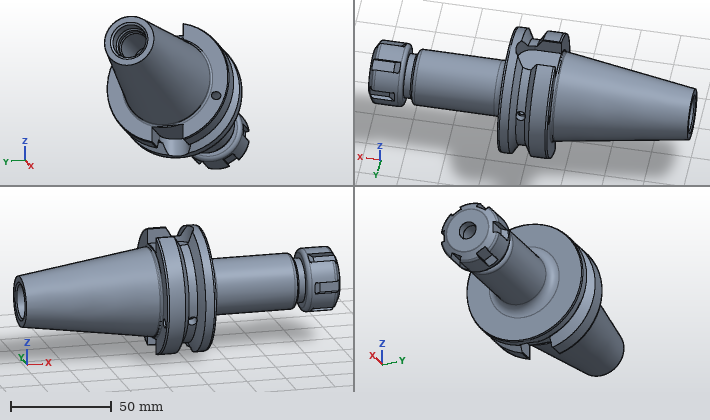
import cadquery as cq
import math


TOTAL_LENGTH = 161.0
GAUGE_X = 65.8
GAUGE_R = 22.4
TAPER_RATIO = 7 / 24
TAPER_TIP_R = GAUGE_R - GAUGE_X * TAPER_RATIO / 2
RELIEF_FILLET = 1.0

FLANGE_X = 67.5
FLANGE_END_X = 92.4
FLANGE_R = 31.47
FLANGE_CHAMFER_LENGTH = 1.0
FLANGE_CHAMFER_DEPTH = 0.3
GROOVE_R = 26.5
GROOVE_RIM_X = 76.6
GROOVE_FLOOR_X = 79.7
GROOVE_FLOOR_END_X = 84.0
GROOVE_RIM_END_X = 87.0

SLOT_WIDTH = 16.1
SLOT_FLOOR_Z = 22.5
SLOT_END_X = 88.7
SLOT_EDGE_CHAMFER = 0.5

COOLANT_ANGLE = 20.0
COOLANT_ENTRY_R = 26.7
COOLANT_TILT = 35.0
COOLANT_DIAMETER = 4.0
PLUG_X = (GROOVE_FLOOR_X + GROOVE_FLOOR_END_X) / 2
PLUG_DIAMETER = 4.8
PLUG_DEPTH = 4.8
LINK_DIAMETER = 3.2

SHANK_R = 14.0
SHANK_FILLET = 5.0
SHANK_END_X = 139.1
SHANK_ROUND = 1.8
NOSE_R = 11.1
NOSE_CONE_LENGTH = 1.0
NOSE_END_X = 156.2

MOUTH_R = 9.7
MOUTH_CHAMFER = 0.6
COUNTERBORE_R = 8.5
COUNTERBORE_DEPTH = 6.3
PILOT_R = 7.7
PILOT_END_X = 9.5
THREAD_R = 7.1
THREAD_END_X = 32.2
BORE_R = 4.5
BORE_CONE = THREAD_R - BORE_R

NUT_X = 143.5
NUT_R = 15.85
NUT_BACK_FILLET = 2.1
NUT_CONE_X = 158.4
NUT_FRONT_R = 11.5
NUT_FRONT_FILLET = 1.6
NUT_SLOT_COUNT = 6
NUT_SLOT_WIDTH = 5.6
NUT_RIM_FILLET = 0.3
NUT_SLOT_FLOOR_R = 13.2
NUT_SLOT_X = 147.0
NUT_LONG_SLOT_X = 145.7
NUT_SLOT_RAMP = 3.2


def turn_about_axis(shape, angle):
    return shape.rotate((0, 0, 0), (1, 0, 0), angle)


def make_outer_body():
    chamfer_r = FLANGE_R - FLANGE_CHAMFER_DEPTH
    round_offset = SHANK_ROUND * math.sqrt(0.5)
    round_x = SHANK_END_X - SHANK_ROUND
    round_r = SHANK_R - SHANK_ROUND
    fillet_offset = RELIEF_FILLET * (1 - math.sqrt(0.5))
    shank_fillet_offset = SHANK_FILLET * (1 - math.sqrt(0.5))
    profile = (
        cq.Workplane("XY")
        .moveTo(0, 0)
        .lineTo(0, TAPER_TIP_R)
        .lineTo(GAUGE_X, GAUGE_R)
        .lineTo(FLANGE_X - RELIEF_FILLET, GAUGE_R)
        .threePointArc(
            (FLANGE_X - fillet_offset, GAUGE_R + fillet_offset),
            (FLANGE_X, GAUGE_R + RELIEF_FILLET),
        )
        .lineTo(FLANGE_X, chamfer_r)
        .lineTo(FLANGE_X + FLANGE_CHAMFER_LENGTH, FLANGE_R)
        .lineTo(GROOVE_RIM_X, FLANGE_R)
        .lineTo(GROOVE_FLOOR_X, GROOVE_R)
        .lineTo(GROOVE_FLOOR_END_X, GROOVE_R)
        .lineTo(GROOVE_RIM_END_X, FLANGE_R)
        .lineTo(FLANGE_END_X - FLANGE_CHAMFER_LENGTH, FLANGE_R)
        .lineTo(FLANGE_END_X, chamfer_r)
        .lineTo(FLANGE_END_X, SHANK_R + SHANK_FILLET)
        .threePointArc(
            (FLANGE_END_X + shank_fillet_offset, SHANK_R + shank_fillet_offset),
            (FLANGE_END_X + SHANK_FILLET, SHANK_R),
        )
        .lineTo(round_x, SHANK_R)
        .threePointArc((round_x + round_offset, round_r + round_offset), (SHANK_END_X, round_r))
        .lineTo(SHANK_END_X + NOSE_CONE_LENGTH, NOSE_R)
        .lineTo(NOSE_END_X, NOSE_R)
        .lineTo(NOSE_END_X, 0)
        .close()
    )
    return profile.revolve(360, (0, 0, 0), (1, 0, 0))


def make_bore():
    profile = cq.Workplane("XY").polyline([
        (0, 0),
        (0, MOUTH_R),
        (MOUTH_CHAMFER, COUNTERBORE_R),
        (COUNTERBORE_DEPTH, COUNTERBORE_R),
        (COUNTERBORE_DEPTH + COUNTERBORE_R - PILOT_R, PILOT_R),
        (PILOT_END_X, PILOT_R),
        (PILOT_END_X + PILOT_R - THREAD_R, THREAD_R),
        (THREAD_END_X, THREAD_R),
        (THREAD_END_X + BORE_CONE, BORE_R),
        (NOSE_END_X, BORE_R),
        (NOSE_END_X, 0),
    ]).close()
    return profile.revolve(360, (0, 0, 0), (1, 0, 0))


def make_drive_slot():
    """Slot from the flange face with a round end, on the +Z side."""
    half_width = SLOT_WIDTH / 2
    arc_x = SLOT_END_X - half_width
    height = FLANGE_R - SLOT_FLOOR_Z
    slot = (
        cq.Workplane("XY", origin=(0, 0, SLOT_FLOOR_Z))
        .moveTo(FLANGE_X, -half_width)
        .lineTo(arc_x, -half_width)
        .threePointArc((SLOT_END_X, 0), (arc_x, half_width))
        .lineTo(FLANGE_X, half_width)
        .close()
        .extrude(height)
    )
    edge_z = math.sqrt(FLANGE_R**2 - half_width**2)
    bottom_z = edge_z - SLOT_EDGE_CHAMFER
    top_half_width = half_width + FLANGE_R - bottom_z
    edge_break = (
        cq.Workplane("YZ", origin=(FLANGE_X, 0, 0))
        .polyline([
            (-half_width, bottom_z),
            (half_width, bottom_z),
            (top_half_width, FLANGE_R),
            (-top_half_width, FLANGE_R),
        ])
        .close()
        .extrude(GROOVE_FLOOR_X - FLANGE_X)
    )
    return slot.union(edge_break)


def drill(start, direction, diameter, length):
    return cq.Workplane(cq.Solid.makeCylinder(diameter / 2, length, start, direction))


def make_coolant_holes():
    """Tilted hole from the flange face to the bore, met by a stepped hole from the groove, on the -Y side."""
    tilt = math.radians(COOLANT_TILT)
    along = cq.Vector(math.cos(tilt), math.sin(tilt), 0)
    entry = cq.Vector(FLANGE_X, -COOLANT_ENTRY_R, 0)
    lead = COOLANT_DIAMETER
    length = lead + COOLANT_ENTRY_R / math.sin(tilt)
    tilted = drill(entry - along * lead, along, COOLANT_DIAMETER, length)

    inward = cq.Vector(0, 1, 0)
    meeting_r = COOLANT_ENTRY_R - (PLUG_X - FLANGE_X) * math.tan(tilt)
    groove_point = cq.Vector(PLUG_X, -GROOVE_R, 0)
    plug = drill(groove_point, inward, PLUG_DIAMETER, PLUG_DEPTH)
    link = drill(groove_point, inward, LINK_DIAMETER, GROOVE_R - meeting_r)
    holes = tilted.union(plug).union(link)
    return turn_about_axis(holes, COOLANT_ANGLE)


def make_holder():
    """One-piece holder: taper, flange, shank and nose."""
    holder = make_outer_body().cut(make_bore())
    for angle in (0, 180):
        holder = holder.cut(turn_about_axis(make_drive_slot(), angle))
        holder = holder.cut(turn_about_axis(make_coolant_holes(), angle))
    return holder


def make_nut_blank():
    """Nut with a recess for the nose and a bore through its front wall."""
    blank = (
        cq.Workplane("XY")
        .polyline([
            (NUT_X, NOSE_R),
            (NUT_X, NUT_R),
            (NUT_CONE_X, NUT_R),
            (TOTAL_LENGTH, NUT_FRONT_R),
            (TOTAL_LENGTH, BORE_R),
            (NOSE_END_X, BORE_R),
            (NOSE_END_X, NOSE_R),
        ])
        .close()
        .revolve(360, (0, 0, 0), (1, 0, 0))
    )
    outer_edge = cq.selectors.RadiusNthSelector(-1)
    cone_corner = cq.selectors.NearestToPointSelector((NUT_CONE_X, 0, 0))
    blank = blank.edges("%CIRCLE").edges(cone_corner).fillet(NUT_FRONT_FILLET)
    blank = blank.faces(">X").edges(outer_edge).fillet(NUT_RIM_FILLET)
    return blank.faces("<X").edges(outer_edge).fillet(NUT_BACK_FILLET)


def make_nut_slot(start_x):
    """Wrench slot on the +Z side that runs out in a ramp at its closed end."""
    return (
        cq.Workplane("XZ", origin=(0, NUT_SLOT_WIDTH / 2, 0))
        .polyline([
            (start_x, NUT_R),
            (start_x + NUT_SLOT_RAMP, NUT_SLOT_FLOOR_R),
            (TOTAL_LENGTH, NUT_SLOT_FLOOR_R),
            (TOTAL_LENGTH, NUT_R),
        ])
        .close()
        .extrude(NUT_SLOT_WIDTH)
    )


def make_nut():
    nut = make_nut_blank()
    pitch = 360 / NUT_SLOT_COUNT
    for index in range(NUT_SLOT_COUNT):
        angle = (index + 0.5) * pitch
        next_to_top = index in (0, NUT_SLOT_COUNT - 1)
        start_x = NUT_LONG_SLOT_X if next_to_top else NUT_SLOT_X
        nut = nut.cut(turn_about_axis(make_nut_slot(start_x), angle))
    return nut


holder = make_holder()
nut = make_nut()
result = cq.Compound.makeCompound([holder.val(), nut.val()])